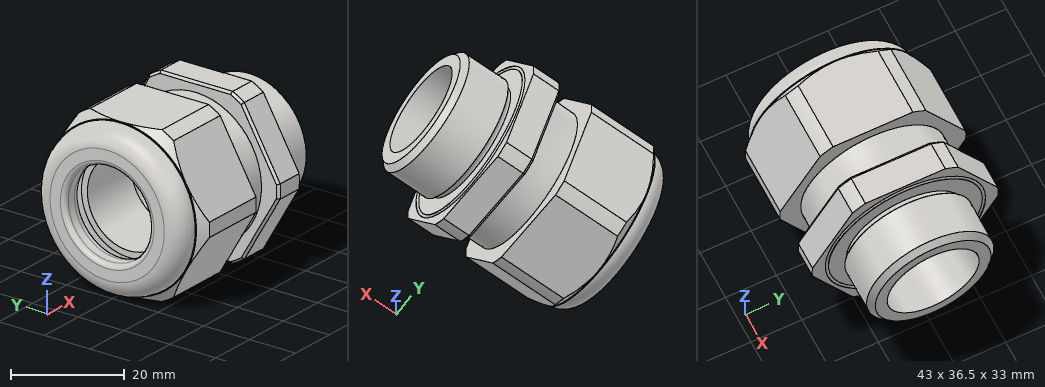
import cadquery as cq
import math

LENGTH = 43.0
ACROSS_FLATS = 33.0
ACROSS_CORNERS = 36.5

NUT_END = 19.3
DOME_FACE_DIA = 25.0
DOME_LENGTH = 3.9
DOME_BASE_DIA = 32.7
HEX_START = 4.1
HEX_BEVEL_LENGTH = 1.5
LIP_BORE_DIA = 18.45
LIP_FRONT_ROUND = 1.0
LIP_BACK_START = 2.85
LIP_BACK_ROUND = 2.15
CHAMBER_DIA = 26.3

SLEEVE_START = 6.3
NECK_START_DIA = 28.4
NECK_MIDDLE_DIA = 28.45
NECK_END_DIA = 28.9
FLANGE_START = 25.97
FLANGE_END = 32.05
FLANGE_CHAMFER = 0.47
BEAD_DIA = 30.8
BEAD_RADIUS = 0.3
GROOVE_DIA = 23.15
THREAD_DIA = 25.0
THREAD_START = 33.3
THREAD_TIP_DIA = 22.7

SEAL_DIA = 20.6
BORE_DIA = 18.0


def cylinder(start, end, diameter):
    """Solid cylinder on the X axis."""
    return cq.Workplane("YZ", origin=(start, 0, 0)).circle(diameter / 2).extrude(end - start)


def revolve_about_x(profile):
    """Revolve a closed profile, drawn as (x, radius), about the X axis."""
    return profile.close().revolve(360, (0, 0, 0), (1, 0, 0))


def hex_prism(start, end):
    """Hexagonal prism with two flats facing +Z and -Z."""
    sharp_corners = ACROSS_FLATS / math.cos(math.pi / 6)
    return cq.Workplane("YZ", origin=(start, 0, 0)).polygon(6, sharp_corners).extrude(end - start)


def make_nut():
    """Domed hexagonal cap nut with a rounded entry lip and a chamber behind it."""
    flat_radius = ACROSS_FLATS / 2
    corner_radius = ACROSS_CORNERS / 2
    turned_corners = revolve_about_x(
        cq.Workplane("XY")
        .moveTo(HEX_START, 0)
        .lineTo(HEX_START, flat_radius)
        .lineTo(HEX_START + HEX_BEVEL_LENGTH, corner_radius)
        .lineTo(NUT_END, corner_radius)
        .lineTo(NUT_END, 0)
    )
    nut = hex_prism(HEX_START, NUT_END).intersect(turned_corners)

    face_radius = DOME_FACE_DIA / 2
    dome_radius = DOME_BASE_DIA / 2
    diagonal = math.sqrt(0.5)
    dome = revolve_about_x(
        cq.Workplane("XY")
        .lineTo(0, face_radius)
        .threePointArc(
            (DOME_LENGTH * (1 - diagonal), face_radius + (dome_radius - face_radius) * diagonal),
            (DOME_LENGTH, dome_radius),
        )
        .lineTo(DOME_LENGTH, 0)
    )

    shoulder = cylinder(DOME_LENGTH, HEX_START, ACROSS_FLATS)

    lip_radius = LIP_BORE_DIA / 2
    lip_end = LIP_BACK_START + LIP_BACK_ROUND
    opening = revolve_about_x(
        cq.Workplane("XY")
        .lineTo(0, lip_radius + LIP_FRONT_ROUND)
        .radiusArc((LIP_FRONT_ROUND, lip_radius), -LIP_FRONT_ROUND)
        .lineTo(LIP_BACK_START, lip_radius)
        .radiusArc((lip_end, lip_radius + LIP_BACK_ROUND), -LIP_BACK_ROUND)
        .lineTo(lip_end, 0)
    )
    chamber = cylinder(lip_end, NUT_END, CHAMBER_DIA)
    return nut.union(shoulder).union(dome).cut(opening).cut(chamber)


def make_flange():
    """Hexagonal flange with turned corners and a bevel round its front outline."""
    bar = cylinder(FLANGE_START, FLANGE_END, ACROSS_CORNERS)
    return hex_prism(FLANGE_START, FLANGE_END).intersect(bar).faces("<X").chamfer(FLANGE_CHAMFER)


def make_bead():
    """Half-round bead standing on the flange's rear face."""
    return revolve_about_x(
        cq.Workplane("XY")
        .moveTo(FLANGE_END, BEAD_DIA / 2 - BEAD_RADIUS)
        .threePointArc(
            (FLANGE_END + BEAD_RADIUS, BEAD_DIA / 2),
            (FLANGE_END, BEAD_DIA / 2 + BEAD_RADIUS),
        )
    )


def make_body():
    """Gland body: sleeve inside the nut, neck, hexagonal flange and threaded end."""
    thread_radius = THREAD_DIA / 2
    tip_radius = THREAD_TIP_DIA / 2
    groove_radius = GROOVE_DIA / 2
    groove_length = THREAD_START - FLANGE_END
    groove_depth = thread_radius - groove_radius
    groove_round = (groove_length**2 + groove_depth**2) / (2 * groove_depth)
    turned = revolve_about_x(
        cq.Workplane("XY")
        .moveTo(SLEEVE_START, 0)
        .lineTo(SLEEVE_START, CHAMBER_DIA / 2)
        .lineTo(NUT_END, CHAMBER_DIA / 2)
        .lineTo(NUT_END, NECK_START_DIA / 2)
        .threePointArc(
            ((NUT_END + FLANGE_START) / 2, NECK_MIDDLE_DIA / 2),
            (FLANGE_START, NECK_END_DIA / 2),
        )
        .lineTo(FLANGE_END, NECK_END_DIA / 2)
        .lineTo(FLANGE_END, groove_radius)
        .radiusArc((THREAD_START, thread_radius), -groove_round)
        .lineTo(LENGTH - (thread_radius - tip_radius), thread_radius)
        .lineTo(LENGTH, tip_radius)
        .lineTo(LENGTH, 0)
    )
    bore = cylinder(SLEEVE_START, LENGTH, BORE_DIA)
    socket = cylinder(SLEEVE_START, NUT_END, SEAL_DIA)
    return turned.union(make_flange()).union(make_bead()).cut(bore).cut(socket)


def make_seal():
    """Plain sealing sleeve seated in the body's socket."""
    return cylinder(SLEEVE_START, NUT_END, SEAL_DIA).cut(cylinder(SLEEVE_START, NUT_END, BORE_DIA))


nut = make_nut()
body = make_body()
seal = make_seal()
result = cq.Compound.makeCompound([nut.val(), body.val(), seal.val()])